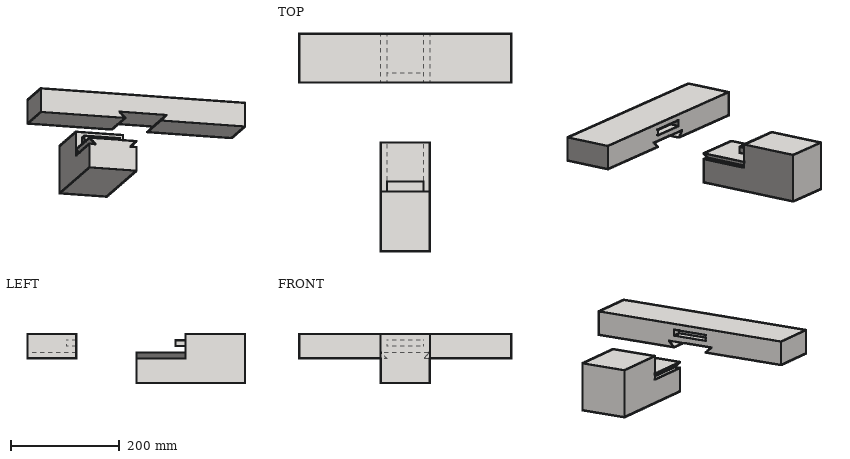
import cadquery as cq

overall_length = 400.0
bar_length = 390.0
post_width = 90.0
post_length = 200.0
tongue_length = 18.0

bar_width = post_width
bar_thickness = post_width / 2
bar_base = post_width - bar_thickness
bar_front = overall_length - bar_width

dovetail_height = bar_thickness / 4
dovetail_inset = post_width / 8
tongue_width = post_width * 3 / 4
tongue_height = bar_thickness / 4
tongue_base = bar_base + bar_thickness / 2

shoulder_y = post_length - bar_width


def block(width, length, height, front, base):
    """Box centered on X, starting at the given front Y and base Z."""
    box = cq.Workplane("XY").box(width, length, height, centered=(True, False, False))
    return box.translate((0, front, base))


def dovetail(front, length):
    """Dovetail prism along Y, narrow at the bar underside and wide at its top."""
    top_half = post_width / 2
    root_half = top_half - dovetail_inset
    top_z = bar_base + dovetail_height
    profile = [
        (-root_half, bar_base),
        (root_half, bar_base),
        (top_half, top_z),
        (-top_half, top_z),
    ]
    prism = cq.Workplane("XZ").polyline(profile).close().extrude(-length)
    return prism.translate((0, front, 0))


def make_post():
    """Square post with a dovetail tenon and a tongue on its shoulder."""
    head = block(post_width, shoulder_y, post_width, 0, 0)
    lower_half = block(post_width, post_length, bar_base, 0, 0)
    tenon = dovetail(shoulder_y, bar_width)
    tongue = block(tongue_width, tongue_length, tongue_height, shoulder_y, tongue_base)
    return head.union(lower_half).union(tenon).union(tongue)


def make_bar():
    """Cross bar with a through dovetail socket and a blind mortise for the tongue."""
    beam = block(bar_length, bar_width, bar_thickness, bar_front, bar_base)
    socket = dovetail(bar_front, bar_width)
    mortise = block(tongue_width, tongue_length, tongue_height, bar_front, tongue_base)
    return beam.cut(socket).cut(mortise)


post = make_post()
bar = make_bar()

result = cq.Compound.makeCompound([post.val(), bar.val()])